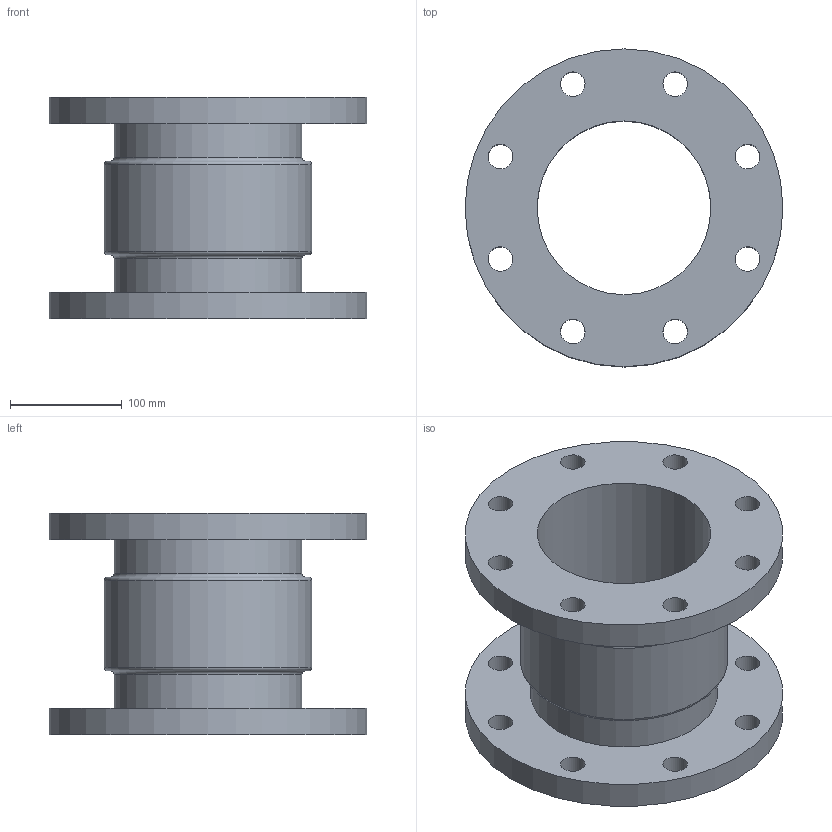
import cadquery as cq

total_length = 199.0
bore_diameter = 155.7

flange_diameter = 285.0
flange_thickness = 24.0
bolt_circle_diameter = 240.0
bolt_hole_diameter = 22.0
bolt_count = 8

pipe_diameter = 168.3
sleeve_diameter = 186.0
sleeve_length = 84.0
sleeve_edge_radius = 3.0
weld_radius = 3.0


def make_body():
    """Flanges, pipe, welds and sleeve in one revolved section, hollow along Z."""
    bore_radius = bore_diameter / 2
    flange_radius = flange_diameter / 2
    pipe_radius = pipe_diameter / 2
    sleeve_radius = sleeve_diameter / 2
    end = total_length / 2
    flange_face = end - flange_thickness
    sleeve_end = sleeve_length / 2
    weld_foot = pipe_radius + weld_radius
    weld_end = sleeve_end + weld_radius
    rounding_start = sleeve_radius - sleeve_edge_radius
    rounding_end = sleeve_end - sleeve_edge_radius
    section = (
        cq.Workplane("XZ")
        .moveTo(-bore_radius, -end)
        .lineTo(-flange_radius, -end)
        .lineTo(-flange_radius, -flange_face)
        .lineTo(-pipe_radius, -flange_face)
        .lineTo(-pipe_radius, -weld_end)
        .radiusArc((-weld_foot, -sleeve_end), -weld_radius)
        .lineTo(-rounding_start, -sleeve_end)
        .radiusArc((-sleeve_radius, -rounding_end), sleeve_edge_radius)
        .lineTo(-sleeve_radius, rounding_end)
        .radiusArc((-rounding_start, sleeve_end), sleeve_edge_radius)
        .lineTo(-weld_foot, sleeve_end)
        .radiusArc((-pipe_radius, weld_end), -weld_radius)
        .lineTo(-pipe_radius, flange_face)
        .lineTo(-flange_radius, flange_face)
        .lineTo(-flange_radius, end)
        .lineTo(-bore_radius, end)
        .close()
    )
    return section.revolve(360, (0, 0, 0), (0, 1, 0))


def make_bolt_holes():
    """Cutters for the bolt holes of both flanges, straddling the X and Y axes."""
    half_pitch = 360.0 / bolt_count / 2
    return (
        cq.Workplane("XY", origin=(0, 0, -total_length / 2))
        .polarArray(bolt_circle_diameter / 2, half_pitch, 360, bolt_count)
        .circle(bolt_hole_diameter / 2)
        .extrude(total_length)
    )


result = make_body().cut(make_bolt_holes())